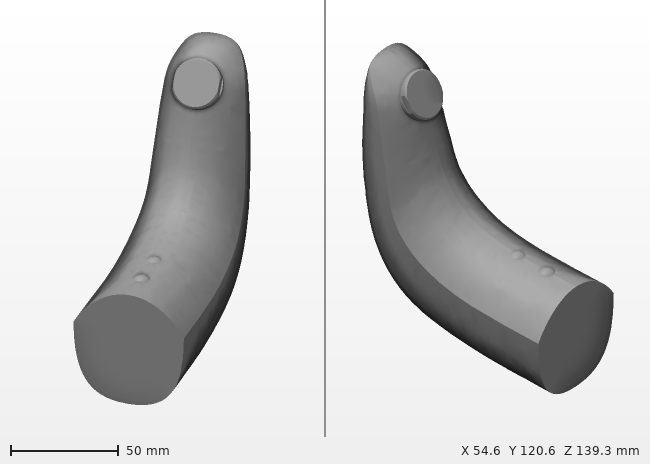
import cadquery as cq
import math


STATIONS = [
    ((0, 55.9), (0, 0), 0.32, 27.3),
    ((12.5, 56.5), (12.3, 0.8), 0.32, 27.3),
    ((26.5, 57.7), (25.8, 1.8), 0.32, 27.2),
    ((48.8, 61.3), (50.1, 4.3), 0.33, 26.6),
    ((64.4, 67.1), (71.7, 8.2), 0.33, 26.0),
    ((74.2, 76.6), (92.2, 15.9), 0.35, 25.1),
    ((80.0, 85.8), (108.1, 31.9), 0.36, 24.0),
    ((83.3, 94.2), (116.2, 52.8), 0.34, 23.1),
    ((85.8, 101.7), (120.1, 78), 0.34, 22.1),
    ((87.8, 108.7), (120.5, 97.5), 0.37, 21.3),
    ((90.3, 117.7), (119.8, 117), 0.43, 20.0),
    ((93.3, 126.0), (119.0, 126.8), 0.53, 18.1),
    ((97.5, 131.5), (117.7, 132.3), 0.69, 15.3),
    ((104.2, 135.7), (116.7, 136.5), 0.8, 11.7),
    ((110, 138.2), (116.2, 138.5), 0.82, 7.8),
    ((114.2, 139.2), (115.9, 139.3), 0.66, 3.9),
]

SHELL_SEAM_HANDLE = (1, 0.77)
SHELL_RIDGE_HANDLE = 0.65
COVER_SEAM_HANDLE = (0.77, 0.58)
COVER_RIDGE_HANDLE = 0.4

SENSOR_DIAMETER = 24.0
SENSOR_CENTRE = (91.5, 124.1)
SENSOR_TILT = 31.3
SENSOR_HEIGHT = 8.4
SENSOR_BEVEL = 0.8
SENSOR_FLATS = 22.1
SENSOR_FLAT_DEPTH = 3.2

BUTTON_DIAMETER = 7
BUTTON_RISE = 1.3
BUTTON_PLACES = [(17.7, 57.0), (35.4, 58.5)]


def section_wire(inner, outer, seam_share, half_width):
    """Closed symmetric section of four cubic curves meeting at the ridges and seams."""
    seam = [start + seam_share * (end - start) for start, end in zip(inner, outer)]

    def point(across, toward, share):
        """Point a share of the way from the seam line to a ridge, at an X offset."""
        return cq.Vector(
            half_width * across,
            seam[0] + share * (toward[0] - seam[0]),
            seam[1] + share * (toward[1] - seam[1]),
        )

    def quarter(side, ridge, seam_handle, ridge_handle):
        seam_across, seam_rise = seam_handle
        return [
            point(side, ridge, 0),
            point(side * seam_across, ridge, seam_rise),
            point(side * ridge_handle, ridge, 1),
            point(0, ridge, 1),
        ]

    shell_right = quarter(1, outer, SHELL_SEAM_HANDLE, SHELL_RIDGE_HANDLE)
    shell_left = quarter(-1, outer, SHELL_SEAM_HANDLE, SHELL_RIDGE_HANDLE)
    cover_right = quarter(1, inner, COVER_SEAM_HANDLE, COVER_RIDGE_HANDLE)
    cover_left = quarter(-1, inner, COVER_SEAM_HANDLE, COVER_RIDGE_HANDLE)
    loop = [shell_right, shell_left[::-1], cover_left, cover_right[::-1]]
    return cq.Wire.assembleEdges([cq.Edge.makeBezier(points) for points in loop])


def make_body():
    sections = [section_wire(*station) for station in STATIONS]
    solid = cq.occ_impl.shapes.loft(
        sections, cap=True, parametrization="chordal", degree=5, smoothing=True
    )
    return cq.Workplane(obj=solid)


def make_sensor():
    tilt = math.radians(SENSOR_TILT)
    face = cq.Plane(
        origin=(0, *SENSOR_CENTRE), xDir=(1, 0, 0), normal=(0, -math.cos(tilt), math.sin(tilt))
    )
    disc = cq.Workplane(face).circle(SENSOR_DIAMETER / 2).extrude(-SENSOR_HEIGHT)
    disc = disc.faces(cq.selectors.DirectionMinMaxSelector(face.zDir)).chamfer(SENSOR_BEVEL)
    outside_flats = (
        cq.Workplane(face)
        .rect(2 * SENSOR_DIAMETER, SENSOR_DIAMETER)
        .rect(SENSOR_FLATS, SENSOR_DIAMETER)
        .extrude(-SENSOR_FLAT_DEPTH)
    )
    return disc.cut(outside_flats)


def make_button(y, z):
    """Sphere whose cap above the ridge has the button's diameter and rise."""
    radius = ((BUTTON_DIAMETER / 2) ** 2 + BUTTON_RISE**2) / (2 * BUTTON_RISE)
    return cq.Workplane().sphere(radius).translate((0, y, z + BUTTON_RISE - radius))


result = make_body().union(make_sensor())
for place in BUTTON_PLACES:
    result = result.union(make_button(*place))